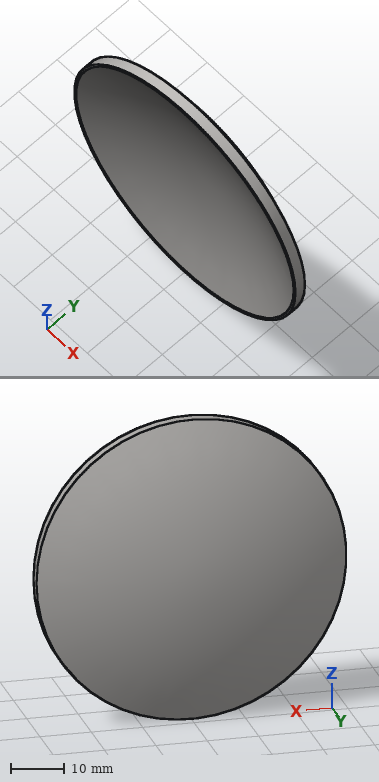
import cadquery as cq

outer_diameter = 60.3
overall_depth = 9.0
wall_thickness = 2.5
rim_land = 0.55

outer_radius = outer_diameter / 2
mouth_radius = outer_radius - rim_land
rim_height = wall_thickness
hollow_depth = overall_depth - wall_thickness


def point_on_cap(base_radius, base_y, crown_y):
    """Point halfway out on the spherical cap that rises from base_y to crown_y."""
    rise = crown_y - base_y
    sphere_radius = (base_radius**2 + rise**2) / (2 * rise)
    sphere_center_y = crown_y - sphere_radius
    x = base_radius / 2
    return x, sphere_center_y + (sphere_radius**2 - x**2) ** 0.5


half_section = (
    cq.Workplane("XY")
    .moveTo(0, hollow_depth)
    .threePointArc(point_on_cap(mouth_radius, 0, hollow_depth), (mouth_radius, 0))
    .lineTo(outer_radius, 0)
    .lineTo(outer_radius, rim_height)
    .threePointArc(point_on_cap(outer_radius, rim_height, overall_depth), (0, overall_depth))
    .close()
)

result = half_section.revolve(360, (0, 0, 0), (0, 1, 0))